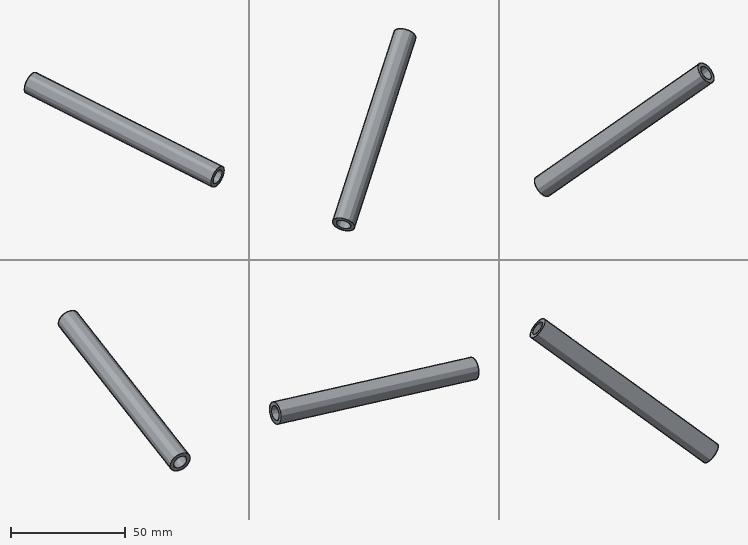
import cadquery as cq

length = 100.0
outer_diameter = 10.0
bore_diameter = 6.5

result = (
    cq.Workplane("YZ", origin=(-length / 2, 0, 0))
    .circle(outer_diameter / 2)
    .circle(bore_diameter / 2)
    .extrude(length)
)